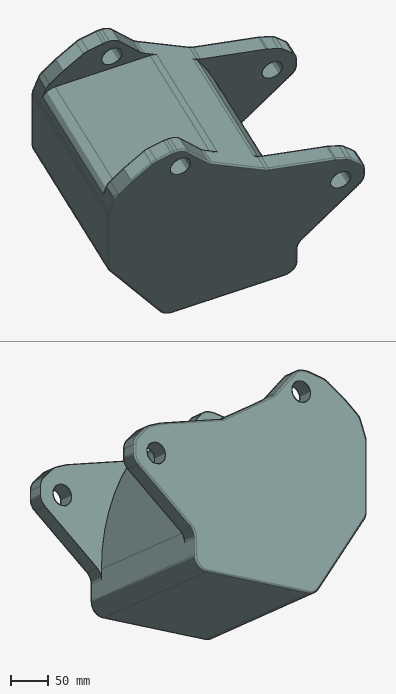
import cadquery as cq
import math

width = 250.0
plate_thickness = 26.0
core_width = width - 2 * plate_thickness
corner_radius = 20.0
rim_radius = 2.3
pin_diameter = 30.0

ear_y = 381
top_z = 315.0
rear_wall_y = 281.0

front_top = (0, 236.0)
front_bottom = (0, 126.5)
bottom_front = (84.2, 0)
bottom_rear = (rear_wall_y, 0)
shoulder = (11.0, 266.0)
slope_low = (236.0, 221.5)
slope_high = (151.5, 271.0)

plate_corners = [
    bottom_rear,
    (rear_wall_y, 53.7),
    (ear_y, 137.5),
    (ear_y, 167.0),
    (358, 189.7),
    (337.2, 197.5),
    slope_low,
    slope_high,
    (112.5, top_z),
    (96.5, top_z),
    (68.2, 309.0),
    (35.0, 286.0),
    shoulder,
    front_top,
    front_bottom,
    bottom_front,
]
pin_centers = [(345.2, 152.8), (107.5, 283.5)]

deck_z = 260.5
ridge_y = 232.0
back_radius = 300.2


def along(start, end, fraction):
    """Point on the line through start and end."""
    return tuple(a + (b - a) * fraction for a, b in zip(start, end))


def point_at_y(start, end, y):
    return along(start, end, (y - start[0]) / (end[0] - start[0]))


def point_at_z(start, end, z):
    return along(start, end, (z - start[1]) / (end[1] - start[1]))


def side_plate():
    """Plate from x = 0 outwards to -X, with a rounded outer rim."""
    plate = (
        cq.Workplane("YZ")
        .polyline(plate_corners)
        .close()
        .extrude(-plate_thickness)
        .edges("|X")
        .fillet(corner_radius)
        .faces("<X")
        .fillet(rim_radius)
    )
    pins = (
        cq.Workplane("YZ")
        .pushPoints(pin_centers)
        .circle(pin_diameter / 2)
        .extrude(-plate_thickness)
    )
    return plate.cut(pins)


def core():
    """Solid block between the plates."""
    ridge = point_at_y(slope_low, slope_high, ridge_y)
    deck_rear = point_at_z(slope_low, slope_high, deck_z)
    deck_front = point_at_z(front_top, shoulder, deck_z)

    arc_center_y = rear_wall_y - back_radius
    ridge_angle = math.acos((ridge_y - arc_center_y) / back_radius)
    arc_center_z = ridge[1] - back_radius * math.sin(ridge_angle)
    arc_middle = (
        arc_center_y + back_radius * math.cos(ridge_angle / 2),
        arc_center_z + back_radius * math.sin(ridge_angle / 2),
    )

    block = (
        cq.Workplane("YZ")
        .moveTo(*bottom_rear)
        .lineTo(rear_wall_y, arc_center_z)
        .threePointArc(arc_middle, ridge)
        .lineTo(*deck_rear)
        .lineTo(*deck_front)
        .lineTo(*front_top)
        .lineTo(*front_bottom)
        .lineTo(*bottom_front)
        .close()
        .extrude(core_width / 2, both=True)
    )
    rounded = [
        bottom_rear,
        ridge,
        deck_rear,
        deck_front,
        front_top,
        front_bottom,
        bottom_front,
    ]
    for y, z in rounded:
        nearest = cq.selectors.NearestToPointSelector((0, y, z))
        block = block.edges("|X").edges(nearest).fillet(corner_radius)
    return block


left_plate = side_plate().translate((-core_width / 2, 0, 0))
right_plate = left_plate.mirror("YZ")
result = core().union(left_plate).union(right_plate).clean()